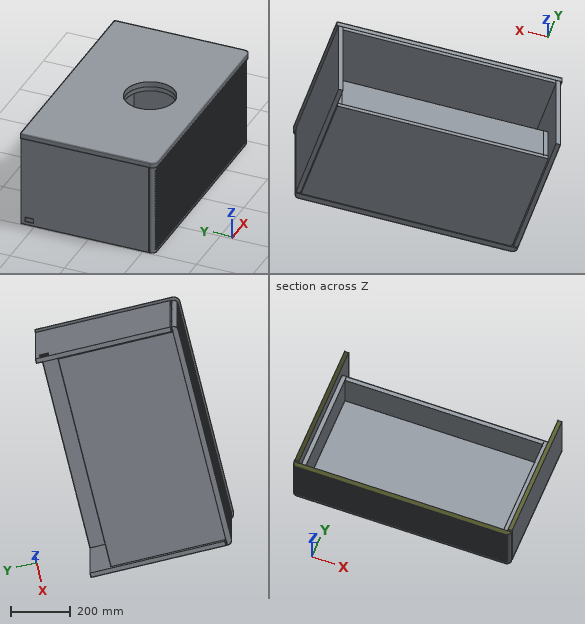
import cadquery as cq
WORKTOP_WIDTH = 800
WORKTOP_DEPTH = 500.0
WORKTOP_THICKNESS = 20.0
WORKTOP_CORNER_RADIUS = 22.0
WORKTOP_EDGE_ROUNDING = 2.0
TOTAL_HEIGHT = 360

CUTOUT_DIAMETER = 180.0
CUTOUT_FRONT_DISTANCE = 195.0

BOARD_THICKNESS = 16
SIDE_OVERHANG = 6.0
FRONT_OVERHANG = 6.0

FRONT_THICKNESS = 19.0
FRONT_CORNER_RADIUS = 18.0
FRONT_BACK_GAP = 5.0
FRONT_TOP_GAP = 3.0
GROOVE_FIELD_HEIGHT = 319.0
GROOVE_WIDTH = 5.2
GROOVE_DEPTH = 2.0
GROOVE_COUNT = 32

DRAWER_SIDE_CLEARANCE = 4.0
DRAWER_BASE_HEIGHT = 20.0
DRAWER_HEIGHT = 148.0
DRAWER_BACK_Y = 160

PLATE_LENGTH = 30.0
PLATE_HEIGHT = 16
PLATE_THICKNESS = 2.0
PLATE_BACK_DISTANCE = 16
PLATE_BOTTOM_DISTANCE = 14.0

back_y = WORKTOP_DEPTH / 2
worktop_front_y = -back_y
cutout_y = worktop_front_y + CUTOUT_FRONT_DISTANCE
worktop_bottom_z = TOTAL_HEIGHT - WORKTOP_THICKNESS
cabinet_half_width = WORKTOP_WIDTH / 2 - SIDE_OVERHANG
front_face_y = worktop_front_y + FRONT_OVERHANG
front_back_y = front_face_y + FRONT_THICKNESS
cabinet_front_y = front_back_y + FRONT_BACK_GAP
front_height = worktop_bottom_z - FRONT_TOP_GAP
groove_field_bottom = (front_height - GROOVE_FIELD_HEIGHT) / 2
groove_pitch = GROOVE_FIELD_HEIGHT / GROOVE_COUNT
inner_half_width = cabinet_half_width - BOARD_THICKNESS
drawer_half_width = inner_half_width - DRAWER_SIDE_CLEARANCE


def block(x_min, x_max, y_min, y_max, z_min, z_max):
    """Box between two opposite corners."""
    size = (x_max - x_min, y_max - y_min, z_max - z_min)
    return cq.Workplane("XY").box(*size, centered=False).translate((x_min, y_min, z_min))


def cutout(board):
    """Cut the round basin opening through a horizontal board."""
    cylinder = cq.Workplane("XY").center(0, cutout_y).circle(CUTOUT_DIAMETER / 2).extrude(TOTAL_HEIGHT)
    return board.cut(cylinder)


def make_worktop():
    """Slab with round front corners and rounded edges along the front and side edges."""
    half_width = WORKTOP_WIDTH / 2
    slab = block(-half_width, half_width, worktop_front_y, back_y, worktop_bottom_z, TOTAL_HEIGHT)
    slab = slab.edges("|Z and <Y").fillet(WORKTOP_CORNER_RADIUS)
    slab = slab.faces("<Z or >Z").edges("not >Y").fillet(WORKTOP_EDGE_ROUNDING)
    return cutout(slab)


def make_top_panel():
    """Board under the worktop, between the two side panels."""
    panel = block(
        -inner_half_width, inner_half_width, cabinet_front_y, back_y,
        worktop_bottom_z - BOARD_THICKNESS, worktop_bottom_z,
    )
    return cutout(panel)


def make_side_panel(side):
    """Outer side board; side is -1 for left and 1 for right."""
    x_min, x_max = sorted((side * inner_half_width, side * cabinet_half_width))
    return block(x_min, x_max, cabinet_front_y, back_y, 0, worktop_bottom_z)


def make_groove_cutter(groove_z):
    """Horizontal cutter with a circular-arc cross-section, centred on groove_z, across the front."""
    profile = (
        cq.Workplane("YZ")
        .moveTo(front_face_y, groove_z - GROOVE_WIDTH / 2)
        .threePointArc(
            (front_face_y + GROOVE_DEPTH, groove_z),
            (front_face_y, groove_z + GROOVE_WIDTH / 2),
        )
        .close()
    )
    return profile.extrude(cabinet_half_width, both=True)


def make_front():
    """Drawer front with round vertical corners and horizontal grooves."""
    front = block(
        -cabinet_half_width, cabinet_half_width, front_face_y, front_back_y,
        0, front_height,
    )
    front = front.edges("|Z and <Y").fillet(FRONT_CORNER_RADIUS)
    for index in range(GROOVE_COUNT):
        groove_z = groove_field_bottom + (index + 0.5) * groove_pitch
        groove = make_groove_cutter(groove_z)
        front = front.cut(groove)
    return front


def make_drawer_base():
    """Drawer floor, which carries the drawer sides and back."""
    return block(
        -drawer_half_width, drawer_half_width, front_back_y, DRAWER_BACK_Y + BOARD_THICKNESS,
        DRAWER_BASE_HEIGHT - BOARD_THICKNESS, DRAWER_BASE_HEIGHT,
    )


def make_drawer_side(side):
    """Drawer side board; side is -1 for left and 1 for right."""
    x_min, x_max = sorted((side * drawer_half_width, side * (drawer_half_width - BOARD_THICKNESS)))
    return block(x_min, x_max, front_back_y, DRAWER_BACK_Y + BOARD_THICKNESS, DRAWER_BASE_HEIGHT, DRAWER_HEIGHT)


def make_drawer_back():
    """Board across the rear of the drawer, between its sides."""
    half_length = drawer_half_width - BOARD_THICKNESS
    return block(
        -half_length, half_length, DRAWER_BACK_Y, DRAWER_BACK_Y + BOARD_THICKNESS,
        DRAWER_BASE_HEIGHT, DRAWER_HEIGHT,
    )


def make_plate():
    """Small plate on the outside of the left side panel."""
    plate_back_y = back_y - PLATE_BACK_DISTANCE
    return block(
        -cabinet_half_width - PLATE_THICKNESS, -cabinet_half_width,
        plate_back_y - PLATE_LENGTH, plate_back_y,
        PLATE_BOTTOM_DISTANCE, PLATE_BOTTOM_DISTANCE + PLATE_HEIGHT,
    )


sides = (-1, 1)
worktop = make_worktop()
top_panel = make_top_panel()
side_panels = [make_side_panel(side) for side in sides]
front = make_front()
drawer_base = make_drawer_base()
drawer_sides = [make_drawer_side(side) for side in sides]
drawer_back = make_drawer_back()
plate = make_plate()

result = cq.Compound.makeCompound([
    worktop.val(),
    top_panel.val(),
    *[panel.val() for panel in side_panels],
    front.val(),
    drawer_base.val(),
    *[board.val() for board in drawer_sides],
    drawer_back.val(),
    plate.val(),
])